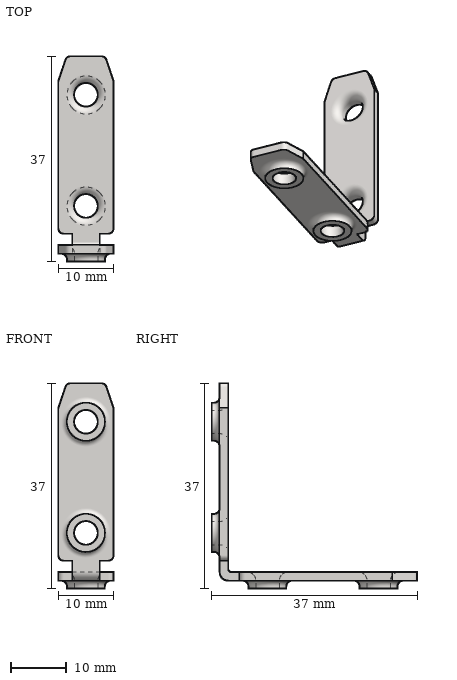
import cadquery as cq

overall = 37.0
width = 10.0
thickness = 1.6
boss_height = 1.4
bend_inner_radius = 0.5

tip_length = 4.48
tip_inset = 1.5
corner_radius = 1.0
neck_width = 5.0
shoulder_height = 3.6

hole_diameter = 4.2
hole_spacing = 20.0
hole_to_tip = 6.95
boss_diameter = 6.9
boss_fillet = 1.0
mouth_radius = 1.5

leg_length = overall - boss_height
bend_outer_radius = thickness
half_width = width / 2
tip_half_width = half_width - tip_inset
boss_radius = boss_diameter / 2
hole_radius = hole_diameter / 2
top_hole = leg_length - hole_to_tip
hole_heights = (top_hole - hole_spacing, top_hole)


def make_plate():
    """Upright leg plate with a tapered tip, occupying 0 <= Y <= thickness."""
    plate = (
        cq.Workplane("XZ")
        .moveTo(-half_width, shoulder_height)
        .lineTo(half_width, shoulder_height)
        .lineTo(half_width, leg_length - tip_length)
        .lineTo(tip_half_width, leg_length)
        .lineTo(-tip_half_width, leg_length)
        .lineTo(-half_width, leg_length - tip_length)
        .close()
        .extrude(-thickness)
    )
    return plate.edges("|Y and (>Z or <Z)").fillet(corner_radius)


def make_boss(height):
    """Boss on the outer face, flaring into the plate with a concave fillet."""
    return (
        cq.Workplane("XY")
        .moveTo(0, thickness / 2)
        .lineTo(boss_radius + boss_fillet, thickness / 2)
        .lineTo(boss_radius + boss_fillet, 0)
        .radiusArc((boss_radius, -boss_fillet), -boss_fillet)
        .lineTo(boss_radius, -boss_height)
        .lineTo(0, -boss_height)
        .close()
        .revolve(360, (0, 0), (0, 1))
        .translate((0, 0, height))
    )


def make_hole(height):
    """Through hole with a rounded mouth on the inner face."""
    return (
        cq.Workplane("XY")
        .moveTo(0, -boss_height)
        .lineTo(hole_radius, -boss_height)
        .lineTo(hole_radius, thickness - mouth_radius)
        .radiusArc((hole_radius + mouth_radius, thickness), mouth_radius)
        .lineTo(0, thickness)
        .close()
        .revolve(360, (0, 0), (0, 1))
        .translate((0, 0, height))
    )


def make_leg():
    """Upright leg with both flared holes."""
    leg = make_plate()
    for height in hole_heights:
        leg = leg.union(make_boss(height)).cut(make_hole(height))
    return leg


def make_neck():
    """Narrow bent strip joining the two legs."""
    strip = (
        cq.Workplane("YZ")
        .polyline([
            (0, 0),
            (shoulder_height, 0),
            (shoulder_height, thickness),
            (thickness, thickness),
            (thickness, shoulder_height),
            (0, shoulder_height),
        ])
        .close()
        .extrude(neck_width / 2, both=True)
    )
    strip = strip.edges(cq.selectors.NearestToPointSelector((0, 0, 0))).fillet(bend_outer_radius)
    inner_corner = (0, thickness, thickness)
    return strip.edges(cq.selectors.NearestToPointSelector(inner_corner)).fillet(bend_inner_radius)


upright_leg = make_leg()

flat_leg = upright_leg.rotate((0, 0, 0), (0, 1, 1), 180)

result = upright_leg.union(make_neck()).union(flat_leg)